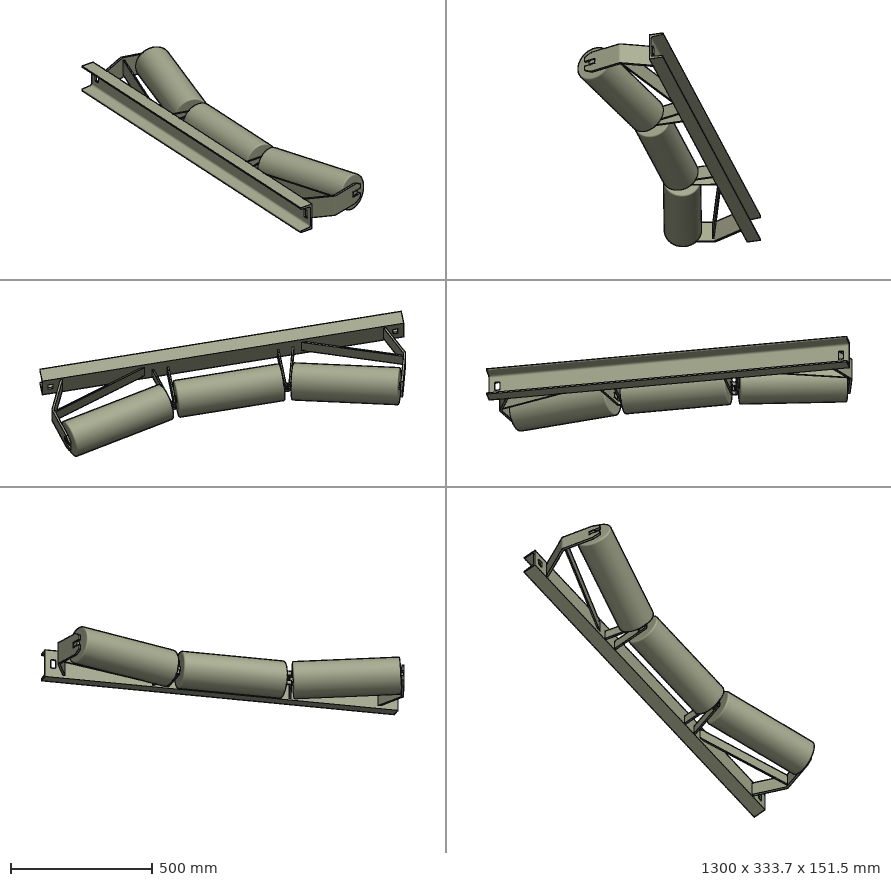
import cadquery as cq
import math

channel_length = 1300.0
channel_height = 100.0
flange_depth = 50.0
web_thickness = 6.0
flange_thickness = 8.5
flange_taper = 0.08
root_radius = 8.5
tip_radius = 4.5
mount_slot_width = 18.0
mount_slot_height = 31.0
mount_slot_corner_radius = 4.0
mount_slot_inset = 30.0

drum_length = 380.0
drum_radius = 66.0
drum_edge_radius = 5.0
shaft_diameter = 25.0
shaft_flat_height = 15.0
shaft_overhang = 12.0

middle_y = 118.0
middle_z = -20.0
wing_x = 411.0
wing_y = 172.0
trough_angle = 15.0
forward_tilt = 3.0
wing_z = middle_z + drum_length / 2 * math.sin(math.radians(forward_tilt))

drum_gap = 5.0
shaft_slot_width = 20.0
shaft_slot_reach = 65.0
outer_thickness = 8.0
outer_width = 78.0
outer_bend_radius = 4.0
outer_tip_reach = 29.0
outer_bend_y = 113.0
outer_foot_x = -581.0
tip_chamfer_length = 26.0
tip_chamfer_width = 13.0
inner_thickness = 6.0
inner_width = 50.0
inner_bend_radius = 3.0
inner_top_y = 143.0

outer_bracket_offset = drum_length / 2 + drum_gap + outer_thickness / 2
inner_bracket_offset = drum_length / 2 + drum_gap + inner_thickness / 2

brace_thickness = 5.0
brace_width = 60.0
brace_head_y = 120.0
brace_foot_x = -290.0
foot_overrun = 13.0


def wing_point(along, across):
    """XY point of the left wing: outwards along the roller axis, then across it, from the roller centre."""
    angle = math.radians(trough_angle)
    x = -wing_x - along * math.cos(angle) + across * math.sin(angle)
    y = wing_y + along * math.sin(angle) + across * math.cos(angle)
    return x, y


def point_on_line(start, end, y):
    """Point where the line through two XY points reaches the given Y."""
    fraction = (y - start[1]) / (end[1] - start[1])
    return start[0] + fraction * (end[0] - start[0]), y


def bent_bar(path, thickness, width, z_centre, bend_radius):
    """Flat bar following an XY path along its mid-thickness, with rounded bends, trimmed at Y = 0."""
    spine = cq.Workplane("XY").polyline(path).wire().val()
    if len(path) > 2:
        bends = spine.Vertices()[1:-1]
        spine = spine.fillet2D(bend_radius + thickness / 2, bends)
    heading = cq.Vector(*path[1]) - cq.Vector(*path[0])
    start_plane = cq.Plane(origin=(*path[0], z_centre), xDir=(0, 0, 1), normal=heading.toTuple())
    spine = spine.translate(cq.Vector(0, 0, z_centre))
    bar = cq.Workplane(start_plane).rect(width, thickness).sweep(cq.Workplane(spine))
    below_web = cq.Workplane("XY").box(channel_length, channel_length, channel_length)
    return bar.cut(below_web.translate((0, -channel_length / 2, 0)))


def centred_bar(section, length):
    """Section in the YZ plane extruded along X, centred on X = 0."""
    return section.extrude(length).translate((-length / 2, 0, 0))


def shaft_slot(seat_centre, z_centre, angle, depth):
    """Cutter for an open shaft slot: it starts at the shaft's underside and runs across the roller axis."""
    cutter = cq.Workplane("XY").box(depth, shaft_slot_reach, shaft_slot_width)
    cutter = cutter.translate((0, (shaft_slot_reach - shaft_diameter) / 2, 0))
    return cutter.rotate((0, 0, 0), (0, 0, 1), angle).translate((*seat_centre, z_centre))


def mirrored_pair(left):
    """The left body and its mirror image on the right."""
    return [left, left.mirror("YZ")]


def make_channel():
    half = channel_height / 2
    mid_depth = flange_depth / 2
    tip_z = half - flange_thickness + flange_taper * mid_depth
    root_z = half - flange_thickness - flange_taper * (mid_depth - web_thickness)
    outline = [
        (0, -half), (-flange_depth, -half), (-flange_depth, -tip_z), (-web_thickness, -root_z),
        (-web_thickness, root_z), (-flange_depth, tip_z), (-flange_depth, half), (0, half),
    ]
    channel = centred_bar(cq.Workplane("YZ").polyline(outline).close(), channel_length)
    for side in (-1, 1):
        tip_edge = cq.selectors.NearestToPointSelector((0, -flange_depth, side * tip_z))
        root_edge = cq.selectors.NearestToPointSelector((0, -web_thickness, side * root_z))
        channel = channel.edges("|X").edges(tip_edge).fillet(tip_radius)
        channel = channel.edges("|X").edges(root_edge).fillet(root_radius)
    slot_x = channel_length / 2 - mount_slot_inset
    slots = (
        cq.Workplane("XZ").pushPoints([(-slot_x, 0), (slot_x, 0)])
        .rect(mount_slot_width, mount_slot_height).extrude(web_thickness)
        .edges("|Y").fillet(mount_slot_corner_radius)
    )
    return channel.cut(slots)


def make_roller():
    """Roller centred on the origin with its axis along X."""
    drum = centred_bar(cq.Workplane("YZ").circle(drum_radius), drum_length)
    drum = drum.edges("%CIRCLE").fillet(drum_edge_radius)
    shaft_length = drum_length + 2 * shaft_overhang
    shaft = centred_bar(cq.Workplane("YZ").circle(shaft_diameter / 2), shaft_length)
    flats = cq.Workplane("XY").box(shaft_length, shaft_diameter, shaft_flat_height)
    return drum.union(shaft.intersect(flats))


def make_wing_roller():
    roller = make_roller().rotate((0, 0, 0), (0, 1, 0), forward_tilt)
    return roller.rotate((0, 0, 0), (0, 0, 1), -trough_angle).translate((-wing_x, wing_y, wing_z))


def outer_bracket_path():
    """Tip, bend and foot of the left outer bracket."""
    tip = wing_point(outer_bracket_offset, outer_tip_reach)
    bend = point_on_line(tip, wing_point(outer_bracket_offset, 0), outer_bend_y)
    foot = point_on_line(bend, (outer_foot_x, 0), -foot_overrun)
    return [tip, bend, foot]


def make_outer_bracket():
    path = outer_bracket_path()
    bracket = bent_bar(path, outer_thickness, outer_width, 0, outer_bend_radius)
    seat = wing_point(outer_bracket_offset, 0)
    bracket = bracket.cut(shaft_slot(seat, 0, -trough_angle, 2 * outer_thickness))
    half_width = outer_width / 2
    for side in (-1, 1):
        corner = [
            (side * half_width, 0),
            (side * half_width, -tip_chamfer_length),
            (side * (half_width - tip_chamfer_width), 0),
        ]
        cutter = (
            cq.Workplane("ZY").polyline(corner).close()
            .extrude(outer_thickness, both=True)
            .rotate((0, 0, 0), (0, 0, 1), -trough_angle).translate((*path[0], 0))
        )
        bracket = bracket.cut(cutter)
    return bracket


def make_inner_bracket():
    """Inverted-U bar: a leg square to the wing roller, a short top, and an upright leg for the middle roller."""
    wing_seat = wing_point(-inner_bracket_offset, 0)
    middle_seat = (-inner_bracket_offset, middle_y)
    leg_line = (wing_seat, wing_point(-inner_bracket_offset, 13))
    path = [
        point_on_line(*leg_line, -foot_overrun),
        point_on_line(*leg_line, inner_top_y),
        (middle_seat[0], inner_top_y),
        (middle_seat[0], -foot_overrun),
    ]
    bracket = bent_bar(path, inner_thickness, inner_width, middle_z, inner_bend_radius)
    for seat, angle in ((wing_seat, -trough_angle), (middle_seat, 0)):
        bracket = bracket.cut(shaft_slot(seat, middle_z, angle, 2 * inner_thickness))
    return bracket


def make_brace(outer_bracket):
    """Flat bar from just above the bend of the outer bracket down to the channel, butted against both."""
    tip, bend, _ = outer_bracket_path()
    head = point_on_line(tip, bend, brace_head_y)
    foot = point_on_line(head, (brace_foot_x, 0), -foot_overrun)
    brace = bent_bar([head, foot], brace_thickness, brace_width, 0, 0)
    return brace.cut(outer_bracket)


channel = make_channel()
middle_roller = make_roller().translate((0, middle_y, middle_z))
outer_bracket = make_outer_bracket()

bodies = [channel, middle_roller]
for left_body in (make_wing_roller(), outer_bracket, make_inner_bracket(), make_brace(outer_bracket)):
    bodies += mirrored_pair(left_body)

result = cq.Compound.makeCompound([body.solids().val() for body in bodies])